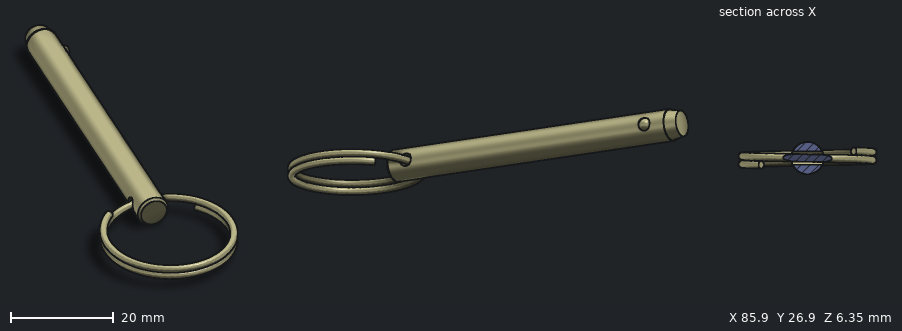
import cadquery as cq
import math

overall_length = 85.94
ring_outer_diameter = 26.92

pin_diameter = 6.35
pin_length = 64.3
tip_diameter = 5.1
nose_base_diameter = 6.05
nose_length = 2.4
tail_chamfer = 0.5

ball_diameter = 2.54
ball_x = 6.7
ball_protrusion = 0.95
ball_y = pin_diameter / 2 + ball_protrusion - ball_diameter / 2

wire_diameter = 1.52
coil_pitch = 1.53
coil_turns = 1.75
coil_radius = (ring_outer_diameter - wire_diameter) / 2
coil_height = coil_pitch * coil_turns
ring_center_x = overall_length - ring_outer_diameter / 2

ring_hole_diameter = 2.54
ring_hole_x = 59.9


def ball_at_pocket():
    """Ball that sits in the pocket and also cuts it."""
    return cq.Workplane("XY").sphere(ball_diameter / 2).translate((ball_x, ball_y, 0))


def make_pin():
    """Turned pin with a tapered nose, a chamfered tail, a ring hole and a ball pocket."""
    pin_radius = pin_diameter / 2
    profile = (
        cq.Workplane("XY")
        .moveTo(0, 0)
        .lineTo(0, tip_diameter / 2)
        .lineTo(nose_length, nose_base_diameter / 2)
        .lineTo(nose_length, pin_radius)
        .lineTo(pin_length - tail_chamfer, pin_radius)
        .lineTo(pin_length, pin_radius - tail_chamfer)
        .lineTo(pin_length, 0)
        .close()
    )
    body = profile.revolve(360, (0, 0, 0), (1, 0, 0))
    ring_hole = (
        cq.Workplane("XZ")
        .center(ring_hole_x, 0)
        .circle(ring_hole_diameter / 2)
        .extrude(pin_diameter, both=True)
    )
    return body.cut(ring_hole).cut(ball_at_pocket()).solids()


def make_split_ring():
    """Round wire swept along a helix, centred in height on the pin axis."""
    path = cq.Wire.makeHelix(coil_pitch, coil_height, coil_radius, lefthand=True)
    start_direction = (0, -2 * math.pi * coil_radius, coil_pitch)
    start_plane = cq.Plane(origin=(coil_radius, 0, 0), xDir=(1, 0, 0), normal=start_direction)
    coil = cq.Workplane(start_plane).circle(wire_diameter / 2).sweep(cq.Workplane(path), isFrenet=True)
    start_angle = 180 + 360 * coil_turns / 2
    return (
        coil.rotate((0, 0, 0), (0, 0, 1), start_angle)
        .translate((ring_center_x, 0, -coil_height / 2))
    )


pin = make_pin()
locking_ball = ball_at_pocket()
split_ring = make_split_ring()

result = cq.Compound.makeCompound([pin.val(), locking_ball.val(), split_ring.val()])